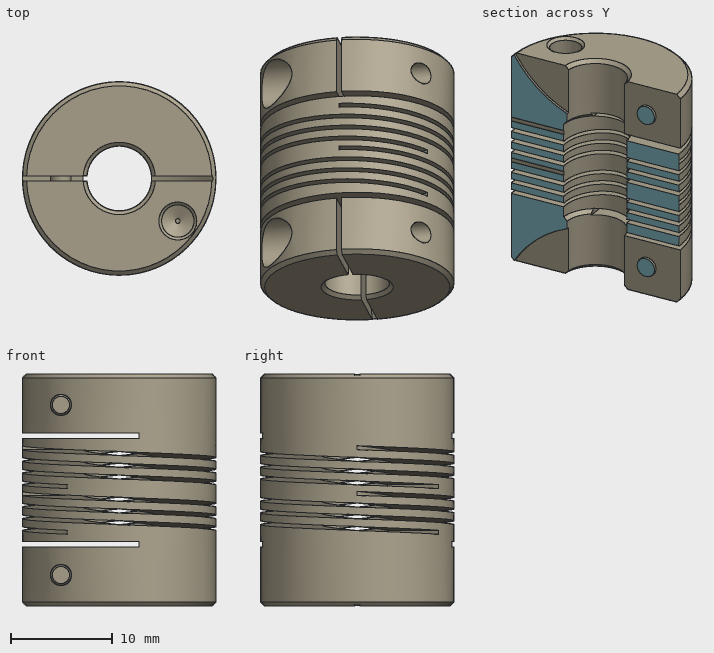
import cadquery as cq
import math

length = 22.85
outer_diameter = 19.05
outer_chamfer = 0.41
bore_diameter = 6.35
bore_mouth_diameter = 7.1
relief_diameter = 7.1
relief_half_length = 5.1

half_length = length / 2
outer_radius = outer_diameter / 2
bore_chamfer = (bore_mouth_diameter - bore_diameter) / 2
relief_taper = (relief_diameter - bore_diameter) / 2
cut_margin = 1.15

slot_height = 0.53
slot_outer_z = 5.6
slot_end_x = 1.92
slit_width = 0.5

saw_radius = 12.5
saw_center_x = -1.4
saw_center_z = 18.0

screw_x = -5.74
screw_z = 8.37
screw_diameter = 2.01
screw_tip_chamfer = 0.15
screw_tip_y = -4.11
screw_hole_diameter = 2.08
head_pocket_diameter = 4.75
head_pocket_floor_y = 2.97

top_hole_x = 5.75
top_hole_y = -4.18
top_hole_diameter = 3.18
top_hole_mouth_diameter = 3.73
top_hole_depth = 4.11
top_hole_tip_diameter = 0.45
top_hole_tip_angle = 133.0

helix_pitch = 2.3
helix_cut_height = 0.4
helix_sweep_angle = 597.3
helix_top_z = 4.15
helix_low_end_angle = 57.3
helix_rise = helix_pitch * helix_sweep_angle / 360
helix_low_ends = (helix_top_z - helix_rise, -helix_top_z)


def make_body():
    body = cq.Workplane("XY", origin=(0, 0, -half_length)).circle(outer_radius).extrude(length)
    body = body.faces("|Z").edges().chamfer(outer_chamfer)
    bore_radius = bore_diameter / 2
    mouth_radius = bore_mouth_diameter / 2
    relief_radius = relief_diameter / 2
    taper_end = relief_half_length + relief_taper
    chamfer_start = half_length - bore_chamfer
    bore = (
        cq.Workplane("XZ")
        .moveTo(0, -half_length)
        .lineTo(mouth_radius, -half_length)
        .lineTo(bore_radius, -chamfer_start)
        .lineTo(bore_radius, -taper_end)
        .lineTo(relief_radius, -relief_half_length)
        .lineTo(relief_radius, relief_half_length)
        .lineTo(bore_radius, taper_end)
        .lineTo(bore_radius, chamfer_start)
        .lineTo(mouth_radius, half_length)
        .lineTo(0, half_length)
        .close()
        .revolve(360, (0, 0, 0), (0, 1, 0))
    )
    return body.cut(bore)


def block(x_min, x_max, width, z_min, z_max):
    """Box centred on Y = 0."""
    return (
        cq.Workplane("XY")
        .box(x_max - x_min, width, z_max - z_min, centered=(False, True, False))
        .translate((x_min, 0, z_min))
    )


def y_cylinder(x, z, diameter, y_min, y_max):
    """Cylinder along Y between two Y positions."""
    return cq.Workplane("XZ", origin=(x, y_min, z)).circle(diameter / 2).extrude(y_min - y_max)


def clamp_cuts():
    """Slot, slit, hinge notch and screw holes of the upper clamp."""
    edge = outer_radius + cut_margin
    slot = block(-edge, slot_end_x, 2 * edge, slot_outer_z - slot_height, slot_outer_z)
    slit = block(-edge, 0, slit_width, slot_outer_z - slot_height / 2, half_length + cut_margin)
    notch = y_cylinder(saw_center_x, saw_center_z, 2 * saw_radius, -slit_width / 2, slit_width / 2)
    tip_hole = y_cylinder(screw_x, screw_z, screw_hole_diameter, -edge, screw_tip_y + screw_tip_chamfer)
    head_pocket = y_cylinder(screw_x, screw_z, head_pocket_diameter, head_pocket_floor_y, edge)
    return slot.union(slit).union(notch).union(tip_hole).union(head_pocket)


def clamp_screw():
    """Plain shank from the head pocket floor to the chamfered tip."""
    shank = y_cylinder(screw_x, screw_z, screw_diameter, screw_tip_y, head_pocket_floor_y)
    return shank.faces("<Y").chamfer(screw_tip_chamfer)


def top_hole():
    radius = top_hole_diameter / 2
    mouth_radius = top_hole_mouth_diameter / 2
    tip_radius = top_hole_tip_diameter / 2
    cone_depth = (radius - tip_radius) / math.tan(math.radians(top_hole_tip_angle / 2))
    return (
        cq.Workplane("XZ")
        .lineTo(mouth_radius, 0)
        .lineTo(radius, radius - mouth_radius)
        .lineTo(radius, -top_hole_depth)
        .lineTo(tip_radius, -top_hole_depth - cone_depth)
        .lineTo(0, -top_hole_depth - cone_depth)
        .close()
        .revolve(360, (0, 0, 0), (0, 1, 0))
        .translate((top_hole_x, top_hole_y, half_length))
    )


def helical_cut(low_end_z, low_end_angle):
    """Radial cut of constant height that climbs clockwise from its low end."""
    inner = relief_diameter / 2 - cut_margin
    outer = outer_radius + cut_margin
    path = cq.Wire.makeHelix(helix_pitch, helix_rise, outer_radius, lefthand=True)
    section = cq.Workplane("XZ").center((inner + outer) / 2, 0).rect(outer - inner, helix_cut_height)
    cut = section.sweep(cq.Workplane(path), isFrenet=True)
    return cut.rotate((0, 0, 0), (0, 0, 1), low_end_angle).translate((0, 0, low_end_z))


result = make_body()

upper_cuts = clamp_cuts()
upper_screw = clamp_screw()
for cuts in (upper_cuts, upper_cuts.mirror("XY")):
    result = result.cut(cuts)
for screw in (upper_screw, upper_screw.mirror("XY")):
    result = result.union(screw)

result = result.cut(top_hole())

for low_end_z in helix_low_ends:
    for start_turn in (0, 180):
        result = result.cut(helical_cut(low_end_z, helix_low_end_angle + start_turn))